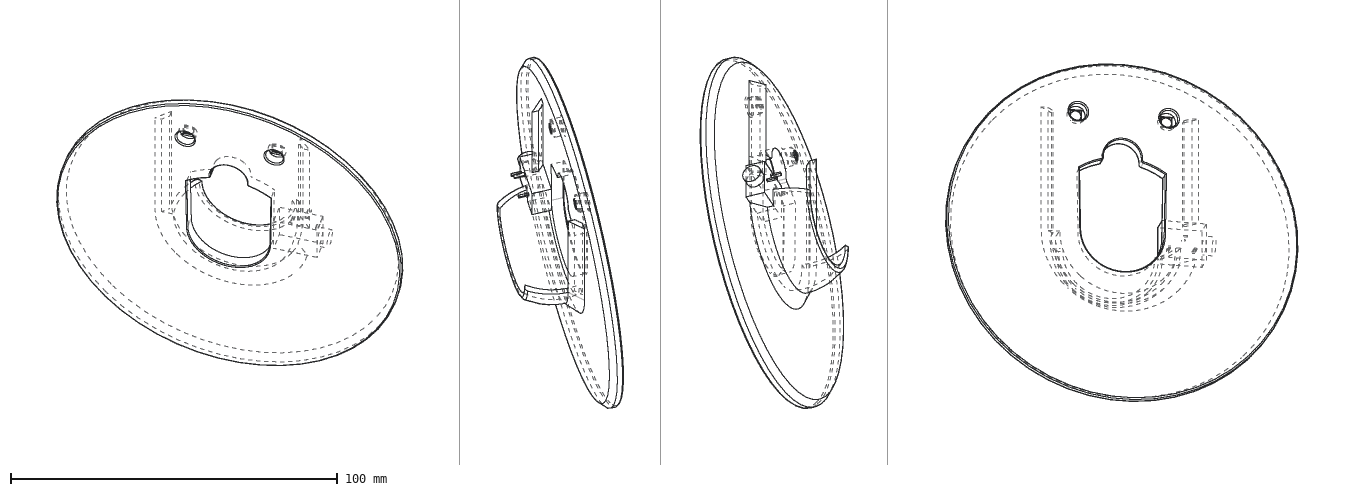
import cadquery as cq
import math

PLATE_RADIUS = 55.0
PLATE_THICKNESS = 4.1
FRONT_CHAMFER = 0.4
BACK_CHAMFER = 2.0

OPENING_BOTTOM_RADIUS = 13.1
OPENING_TOP_HALF_WIDTH = 13.4
SHOULDER_RADIUS = 24.0
NOTCH_RADIUS = 5.9
NOTCH_CENTRE_Z = 24.3
NOTCH_CORNER_FILLET = 0.9
OPENING_CHAMFER = 0.3

SCREW_XS = (-13.9, 14.5)
SCREW_Z = 38.3
SCREW_DIAMETER = 3.3
COUNTERBORE_DIAMETER = 5.6
COUNTERBORE_DEPTH = 3.1
COUNTERBORE_CHAMFER = 0.4
BRIDGE_STEP = 0.3

HEIGHT = 20.7
FLARE_TOP_Y = 8.1
DOME_OUTER_RADIUS = 20.6
FLARE_RADIUS = DOME_OUTER_RADIUS + FLARE_TOP_Y - PLATE_THICKNESS
DOME_MID = (19.4, 14.7)
DOME_END_RADIUS = 16.7
DOME_END_Y = 20.0
RIM_OUTER_RADIUS = 15.6
RIM_INNER_RADIUS = 14.4
RIM_INNER_Y = 20.1
DOME_INNER_MID = (17.5, 15.1)
DOME_INNER_RADIUS = 18.8

RAIL_EDGE = 2.1
RAIL_TOP_Z = 40.4

SOCKET_X = 13.2
SOCKET_LENGTH = 13.9
SOCKET_BACK_Y = 10.2
SOCKET_BOTTOM_Z = -5.7
SOCKET_TOP_Z = 6.2
BARREL_DIAMETER = 5.8
BARREL_LENGTH = 3.1
PIN_TOP_Y = 13.5
PIN_THICKNESS = 0.5
PINS = (
    (16.9, 0.2, 0.7, PIN_THICKNESS),
    (21.9, 4.1, 1.1, PIN_THICKNESS),
    (25.1, 0.2, 0.8, PIN_THICKNESS),
)


def box(x_min, x_max, y_min, y_max, z_min, z_max):
    """Box between opposite corner coordinates."""
    size = (x_max - x_min, y_max - y_min, z_max - z_min)
    return cq.Workplane("XY").box(*size, centered=False).translate((x_min, y_min, z_min))


def disc(radius, y_start, y_end, x=0, z=0):
    """Cylinder along Y."""
    axis = cq.Vector(0, 1, 0)
    return cq.Workplane(cq.Solid.makeCylinder(radius, y_end - y_start, cq.Vector(x, y_start, z), axis))


def make_plate():
    plate = disc(PLATE_RADIUS, 0, PLATE_THICKNESS)
    plate = plate.faces("<Y").chamfer(FRONT_CHAMFER)
    return plate.faces(">Y").chamfer(BACK_CHAMFER)


def circle_point(centre_x, centre_z, radius, toward_x, toward_z):
    """Point of a circle on the ray from its centre toward another point."""
    reach = radius / math.hypot(toward_x - centre_x, toward_z - centre_z)
    return (centre_x + (toward_x - centre_x) * reach, centre_z + (toward_z - centre_z) * reach)


def opening_outline(growth, y):
    """Closed keyhole outline at height y, offset outward by growth."""
    bottom = OPENING_BOTTOM_RADIUS + growth
    half_width = OPENING_TOP_HALF_WIDTH + growth
    shoulder = SHOULDER_RADIUS + growth
    notch = NOTCH_RADIUS + growth
    fillet = NOTCH_CORNER_FILLET - growth

    to_origin = SHOULDER_RADIUS + NOTCH_CORNER_FILLET
    to_notch = NOTCH_RADIUS + NOTCH_CORNER_FILLET
    fillet_z = (to_origin**2 - to_notch**2 + NOTCH_CENTRE_Z**2) / (2 * NOTCH_CENTRE_Z)
    fillet_x = math.sqrt(to_origin**2 - fillet_z**2)

    side = (half_width, math.sqrt(shoulder**2 - half_width**2))
    low = circle_point(0, 0, shoulder, fillet_x, fillet_z)
    high = circle_point(0, NOTCH_CENTRE_Z, notch, fillet_x, fillet_z)
    middle = ((low[0] + high[0]) / 2, (low[1] + high[1]) / 2)
    fillet_mid = circle_point(fillet_x, fillet_z, fillet, *middle)
    shoulder_mid = circle_point(0, 0, shoulder, (side[0] + low[0]) / 2, (side[1] + low[1]) / 2)

    def mirrored(point):
        return (-point[0], point[1])

    return (
        cq.Workplane("XZ", origin=(0, y, 0))
        .moveTo(bottom, 0)
        .lineTo(*side)
        .threePointArc(shoulder_mid, low)
        .threePointArc(fillet_mid, high)
        .threePointArc((0, NOTCH_CENTRE_Z + notch), mirrored(high))
        .threePointArc(mirrored(fillet_mid), mirrored(low))
        .threePointArc(mirrored(shoulder_mid), mirrored(side))
        .lineTo(-bottom, 0)
        .threePointArc((0, -bottom), (bottom, 0))
        .close()
    )


def make_opening():
    """Keyhole cutter with a chamfered lip at the front face."""
    through = opening_outline(0, 0).extrude(-PLATE_THICKNESS)
    front_wire = opening_outline(OPENING_CHAMFER, 0).val()
    inner_wire = opening_outline(0, OPENING_CHAMFER).val()
    lip = cq.Workplane(cq.Solid.makeLoft([front_wire, inner_wire], True))
    return through.union(lip)


def make_screw_cutter(x):
    """Stepped screw hole: chamfered counterbore, bridging slot, square, then round hole."""
    half = SCREW_DIAMETER / 2
    bore_radius = COUNTERBORE_DIAMETER / 2
    slot_end = COUNTERBORE_DEPTH + BRIDGE_STEP
    square_end = slot_end + BRIDGE_STEP
    hole = disc(half, 0, PLATE_THICKNESS, x, SCREW_Z)
    bore = disc(bore_radius, 0, COUNTERBORE_DEPTH, x, SCREW_Z)
    mouth = cq.Workplane(
        cq.Solid.makeCone(
            bore_radius + COUNTERBORE_CHAMFER,
            bore_radius,
            COUNTERBORE_CHAMFER,
            cq.Vector(x, 0, SCREW_Z),
            cq.Vector(0, 1, 0),
        )
    )
    slot = box(x - bore_radius, x + bore_radius, 0, slot_end, SCREW_Z - half, SCREW_Z + half)
    slot = slot.intersect(disc(bore_radius, 0, slot_end, x, SCREW_Z))
    square = box(x - half, x + half, 0, square_end, SCREW_Z - half, SCREW_Z + half)
    return hole.union(bore).union(mouth).union(slot).union(square)


def make_dome():
    """Half of a revolved shell with a conical flare at its foot."""
    half_shell = (
        cq.Workplane("XY")
        .moveTo(DOME_INNER_RADIUS, PLATE_THICKNESS)
        .lineTo(FLARE_RADIUS, PLATE_THICKNESS)
        .lineTo(DOME_OUTER_RADIUS, FLARE_TOP_Y)
        .threePointArc(DOME_MID, (DOME_END_RADIUS, DOME_END_Y))
        .lineTo(RIM_OUTER_RADIUS, HEIGHT)
        .lineTo(RIM_INNER_RADIUS, RIM_INNER_Y)
        .threePointArc(DOME_INNER_MID, (DOME_INNER_RADIUS, PLATE_THICKNESS))
        .close()
        .revolve(180, (0, 0, 0), (0, 1, 0))
    )
    if half_shell.val().Center().z > 0:
        half_shell = half_shell.mirror("XY")
    return half_shell


def make_rail():
    """Left rail: a 45-degree sloping wall with an upright inner edge."""
    lower_edge_y = FLARE_TOP_Y - RAIL_EDGE
    return (
        cq.Workplane("XY")
        .moveTo(-FLARE_RADIUS, PLATE_THICKNESS)
        .lineTo(-DOME_OUTER_RADIUS, FLARE_TOP_Y)
        .lineTo(-DOME_OUTER_RADIUS, lower_edge_y)
        .lineTo(-FLARE_RADIUS + RAIL_EDGE, PLATE_THICKNESS)
        .close()
        .extrude(RAIL_TOP_Z)
    )


def make_socket():
    """Socket block with a round barrel on its +X end and contact pins on its back."""
    end_x = SOCKET_X + SOCKET_LENGTH
    block = box(SOCKET_X, end_x, PLATE_THICKNESS, SOCKET_BACK_Y, SOCKET_BOTTOM_Z, SOCKET_TOP_Z)
    centre = cq.Vector(
        end_x,
        (PLATE_THICKNESS + SOCKET_BACK_Y) / 2,
        (SOCKET_BOTTOM_Z + SOCKET_TOP_Z) / 2,
    )
    barrel = cq.Solid.makeCylinder(BARREL_DIAMETER / 2, BARREL_LENGTH, centre, cq.Vector(1, 0, 0))
    socket = block.union(cq.Workplane(barrel))
    for x, z, width, depth in PINS:
        pin = box(
            x - width / 2, x + width / 2, SOCKET_BACK_Y, PIN_TOP_Y, z - depth / 2, z + depth / 2
        )
        socket = socket.union(pin)
    return socket


def make_cover(socket):
    cover = make_plate().cut(make_opening())
    rail = make_rail()
    cover = cover.union(make_dome()).union(rail).union(rail.mirror("YZ"))
    for x in SCREW_XS:
        cover = cover.cut(make_screw_cutter(x))
    return cover.cut(socket)


socket = make_socket()
cover = make_cover(socket)
result = cq.Compound.makeCompound([cover.solids().val(), socket.solids().val()])